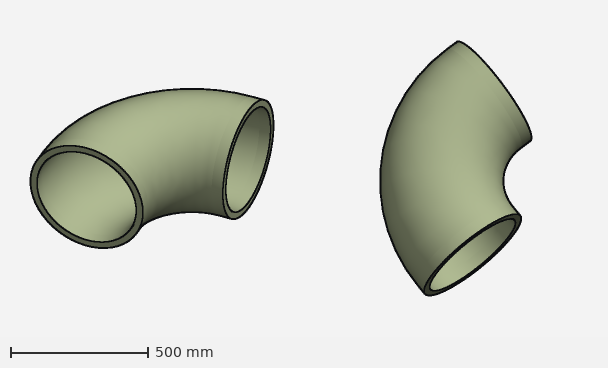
import cadquery as cq
import math

overall_length = 670.0
outer_diameter = 450.0
inner_diameter = 396.5
collar_length = 45.0
bend_radius = overall_length - outer_diameter / 2 - collar_length

bend_end = (bend_radius, collar_length + bend_radius)
arc_middle = (
    bend_radius * (1 - math.cos(math.pi / 4)),
    collar_length + bend_radius * math.sin(math.pi / 4),
)
centreline = (
    cq.Workplane("XY")
    .lineTo(0, collar_length)
    .threePointArc(arc_middle, bend_end)
    .lineTo(bend_end[0] + collar_length, bend_end[1])
)

result = (
    cq.Workplane("XZ")
    .circle(outer_diameter / 2)
    .circle(inner_diameter / 2)
    .sweep(centreline)
)